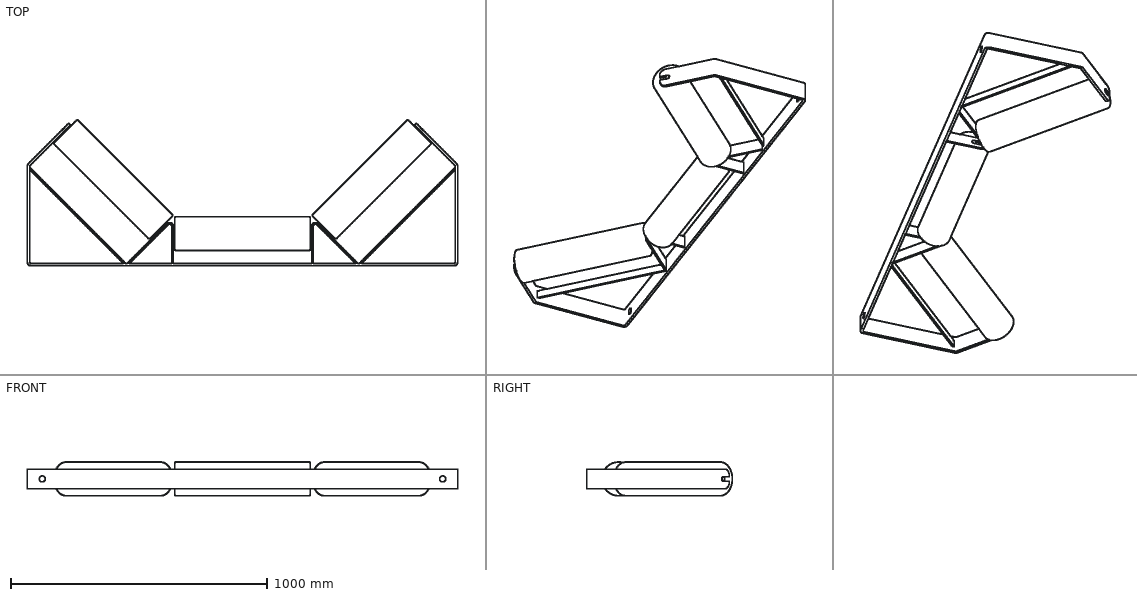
import cadquery as cq
import math

frame_length = 1680.0
strip_height = 77.0
frame_thickness = 10.0
frame_bend_radius = 15.0
side_height = 395.0
plate_corner_radius = 25.0
mount_hole_diameter = 24.0
mount_hole_x = 781.0

wing_tilt = 45.0
roller_diameter = 133.0
roller_length = 530.0
roller_edge_radius = 5.0
center_roller_y = 126.0
wing_roller_x = 504.0
wing_roller_y = 338.0

axle_diameter = 17.0
axle_gap = 5.0
plate_reach = 32.0

bracket_thickness = 7.0
bracket_height = 50.0
bracket_bend_radius = 15.0
brace_thickness = 7.0
brace_height = 32.0
brace_foot_x = 460.0

half_length = frame_length / 2
side_inner_x = half_length - frame_thickness
wing_slope = math.tan(math.radians(wing_tilt))
wing_cos = math.cos(math.radians(wing_tilt))
wing_sin = math.sin(math.radians(wing_tilt))
stub_length = axle_gap + bracket_thickness
slot_length = roller_length + 2 * (axle_gap + 2 * frame_thickness)
sides = (-1, 1)


def upright_prism(points, height):
    """Prism along Z, centred on the XY plane."""
    return cq.Workplane("XY").polyline(points).close().extrude(height / 2, both=True)


def fillet_corner(body, point, radius):
    """Round the edge along Z that passes through a point of the XY plane."""
    return body.edges(cq.selectors.NearestToPointSelector((*point, 0))).fillet(radius)


def mirrored(body, side):
    return body if side > 0 else body.mirror("YZ")


def place_wing(body, side):
    """Move a body built about the origin along X to the tilted roller of one side."""
    turned = body.rotate((0, 0, 0), (0, 0, 1), side * wing_tilt)
    return turned.translate((side * wing_roller_x, wing_roller_y, 0))


def place_center(body):
    return body.translate((0, center_roller_y, 0))


def round_bar(diameter, length):
    """Cylinder along X, centred on the origin."""
    return cq.Workplane("YZ", origin=(-length / 2, 0, 0)).circle(diameter / 2).extrude(length)


def make_roller():
    """Roller along X with an axle end on each side."""
    drum = round_bar(roller_diameter, roller_length)
    drum = drum.edges("%CIRCLE").fillet(roller_edge_radius)
    return drum.union(round_bar(axle_diameter, roller_length + 2 * stub_length))


def make_slots():
    """Cutter for the open slots at both ends of a roller: the axle shape, open towards +Y."""
    slot_depth = roller_diameter / 2
    opening = cq.Workplane("XY").box(slot_length, slot_depth, axle_diameter, centered=(True, False, True))
    return round_bar(axle_diameter, slot_length).union(opening)


def frame_corners():
    """Corners of the right half of the strip, from its outer face to its inner face."""
    along_x = (half_length - wing_roller_x) * wing_sin
    along_y = (wing_roller_y - side_height) * wing_cos
    plate_length = along_x + along_y + plate_reach

    tip_x = half_length - plate_length * wing_sin
    tip_y = side_height + plate_length * wing_cos
    inner_side_height = side_height - frame_thickness * math.tan(math.radians(wing_tilt / 2))
    return {
        "outer base": (half_length, 0),
        "outer side": (half_length, side_height),
        "outer tip": (tip_x, tip_y),
        "inner tip": (tip_x - frame_thickness * wing_cos, tip_y - frame_thickness * wing_sin),
        "inner side": (side_inner_x, inner_side_height),
        "inner base": (side_inner_x, frame_thickness),
    }


def round_plate_end(frame, corners, side):
    """Round the upper and lower corner at the free end of one end plate."""
    outer_x, outer_y = corners["outer tip"]
    inner_x, inner_y = corners["inner tip"]
    for level in (-strip_height / 2, strip_height / 2):
        middle = (side * (outer_x + inner_x) / 2, (outer_y + inner_y) / 2, level)
        frame = frame.edges(cq.selectors.NearestToPointSelector(middle)).fillet(plate_corner_radius)
    return frame


def round_bends(frame, corners, side):
    """Round the bends at the foot and the head of one upright side."""
    inner_radius = frame_bend_radius - frame_thickness
    for bend in ("base", "side"):
        x, y = corners["outer " + bend]
        frame = fillet_corner(frame, (side * x, y), frame_bend_radius)
        x, y = corners["inner " + bend]
        frame = fillet_corner(frame, (side * x, y), inner_radius)
    return frame


def make_mount_hole(side):
    """Cutter for the mounting hole near one end of the base."""
    center = cq.Workplane("XZ").center(side * mount_hole_x, 0)
    return center.circle(mount_hole_diameter / 2).extrude(-frame_thickness)


def make_frame():
    """Strip bent into a base, two sides and two end plates."""
    corners = frame_corners()
    right = list(corners.values())
    left = [(-x, y) for x, y in reversed(right)]
    frame = upright_prism(right + left, strip_height)
    for side in sides:
        frame = round_plate_end(frame, corners, side)
        frame = round_bends(frame, corners, side)
        frame = frame.cut(make_mount_hole(side))
        frame = frame.cut(place_wing(make_slots(), side))
    return frame


def make_bracket(side):
    """Inverted V on the base that holds the inner ends of a wing roller and the center roller."""
    foot_y = frame_thickness
    face_distance = roller_length / 2 + axle_gap
    upright_outer = face_distance
    upright_inner = upright_outer + bracket_thickness

    slope_outer = wing_roller_x + wing_roller_y / wing_slope - face_distance / wing_sin
    slope_inner = slope_outer - bracket_thickness / wing_sin

    outer_apex = (upright_outer, (slope_outer - upright_outer) * wing_slope)
    inner_apex = (upright_inner, (slope_inner - upright_inner) * wing_slope)
    outline = [
        (upright_outer, foot_y),
        outer_apex,
        (slope_outer - foot_y / wing_slope, foot_y),
        (slope_inner - foot_y / wing_slope, foot_y),
        inner_apex,
        (upright_inner, foot_y),
    ]
    bracket = upright_prism(outline, bracket_height)
    bracket = fillet_corner(bracket, outer_apex, bracket_bend_radius)
    bracket = fillet_corner(bracket, inner_apex, bracket_bend_radius - bracket_thickness)
    bracket = bracket.cut(place_wing(make_slots(), 1)).cut(place_center(make_slots()))
    return mirrored(bracket, side)


def make_brace(side):
    """Flat bar from the base up to the top of a side, parallel to the wing roller."""
    half_foot = brace_thickness / 2 / wing_sin
    half_head = brace_thickness / 2 / wing_cos
    foot_y = frame_thickness
    head_y = foot_y + (side_inner_x - brace_foot_x) * wing_slope
    outline = [
        (brace_foot_x - half_foot, foot_y),
        (brace_foot_x + half_foot, foot_y),
        (side_inner_x, head_y - half_head),
        (side_inner_x, head_y + half_head),
    ]
    return mirrored(upright_prism(outline, brace_height), side)


frame = make_frame()
rollers = [place_center(make_roller())]
rollers += [place_wing(make_roller(), side) for side in sides]
brackets = [make_bracket(side) for side in sides]
braces = [make_brace(side) for side in sides]

bodies = [frame, *rollers, *brackets, *braces]
result = cq.Compound.makeCompound([body.val() for body in bodies])